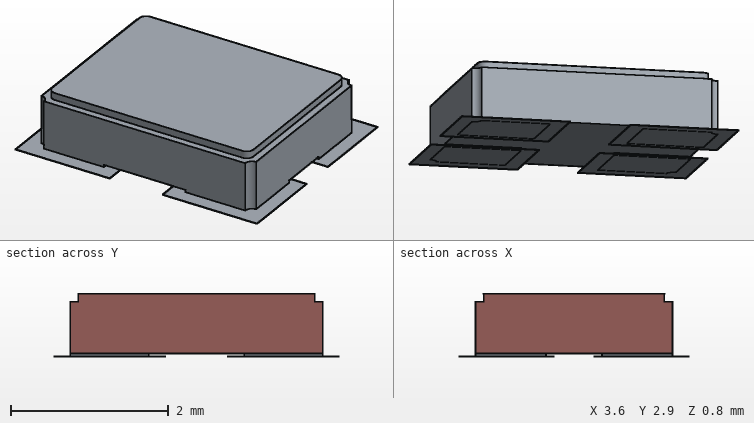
import cadquery as cq

overall_length = 3.6
overall_width = 2.9
overall_height = 0.8

body_length = 3.2
body_width = 2.5
body_top = 0.7
notch_radius = 0.1

lid_inset = 0.1
lid_corner_radius = 0.1

terminal_height = 0.04
terminal_gap_x = 1.21
terminal_gap_y = 0.71

land_thickness = 0.007
land_gap_x = 0.79
land_gap_y = 0.51


def centered_box(length, width, bottom, top):
    """Box centered on the Z axis, spanning bottom to top."""
    return cq.Workplane("XY").workplane(offset=bottom).rect(length, width).extrude(top - bottom)


def make_body():
    body = centered_box(body_length, body_width, 0, body_top)
    gap_along_y = centered_box(terminal_gap_x, body_width, 0, terminal_height)
    gap_along_x = centered_box(body_length, terminal_gap_y, 0, terminal_height)
    corner_notches = (
        cq.Workplane("XY")
        .rect(body_length, body_width, forConstruction=True)
        .vertices()
        .circle(notch_radius)
        .extrude(body_top)
    )
    return body.cut(gap_along_y).cut(gap_along_x).cut(corner_notches)


def make_lid():
    lid_length = body_length - 2 * lid_inset
    lid_width = body_width - 2 * lid_inset
    lid = centered_box(lid_length, lid_width, body_top, overall_height)
    return lid.edges("|Z").fillet(lid_corner_radius)


def make_lands():
    sheet = centered_box(overall_length, overall_width, 0, land_thickness)
    gap_along_y = centered_box(land_gap_x, overall_width, 0, land_thickness)
    gap_along_x = centered_box(overall_length, land_gap_y, 0, land_thickness)
    return sheet.cut(gap_along_y).cut(gap_along_x)


result = make_body().union(make_lid()).union(make_lands())